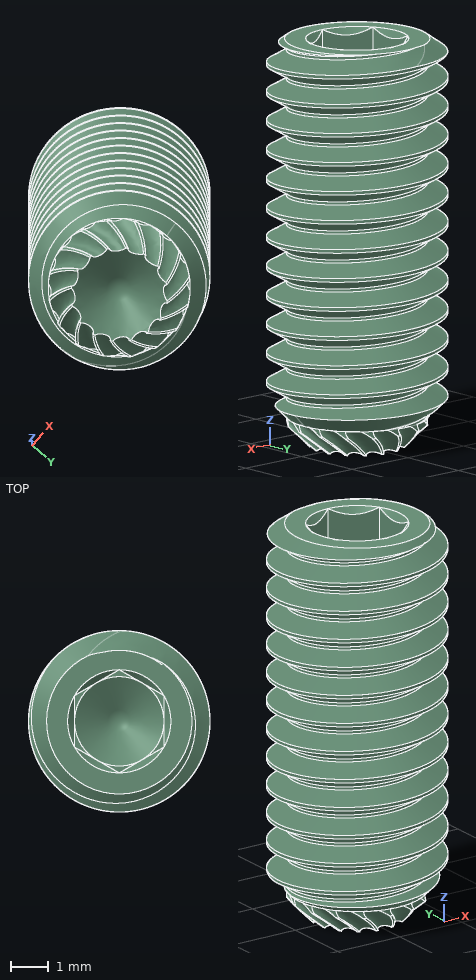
import cadquery as cq
import math


LENGTH = 11.11
MAJOR_RADIUS = 4.83 / 2
ROOT_RADIUS = 1.89
PITCH = LENGTH / 14
CREST_WIDTH = PITCH / 8
FLANK_ANGLE = math.radians(30)
THREAD_PHASE = 0.21
CORE_OVERLAP = 0.05

TOP_FACE_RADIUS = 1.93
TOP_CHAMFER_ANGLE = math.radians(35)
TIP_RADIUS = 1.29
CUP_ANGLE = math.radians(31)

KNURL_HEIGHT = 0.8
GROOVE_COUNT = 16
GROOVE_STEP = 360 / GROOVE_COUNT
GROOVE_ANGLE = 19.5
GROOVE_DEPTH_RATIO = 0.13
GROOVE_PHASE = -0.5
GROOVE_TWIST = 24.0
GROOVE_OVERCUT = 1.2

HEX_WIDTH = 2.38
HEX_SIDES = 6
HEX_CORNER_RADIUS = HEX_WIDTH / math.sqrt(3)
HEX_DEPTH = 1.28
DRILL_TIP_SLOPE = math.radians(31)
COUNTERSINK_SLOPE = math.radians(45)


def revolved(points):
    """Solid of revolution about Z from (radius, height) points."""
    return cq.Workplane("XZ").polyline(points).close().revolve(360, (0, 0), (0, 1))


def cone_down(radius, height, slope):
    """Cone with its base at the given height and its apex below."""
    return revolved([(0, height), (radius, height), (0, height - radius * math.tan(slope))])


def thread_ridge():
    inner = ROOT_RADIUS - CORE_OVERLAP
    crest_half = CREST_WIDTH / 2
    inner_half = crest_half + (MAJOR_RADIUS - inner) * math.tan(FLANK_ANGLE)
    start = THREAD_PHASE - PITCH
    turns = math.ceil((LENGTH - start) / PITCH) + 1
    path = cq.Workplane(cq.Wire.makeHelix(PITCH, turns * PITCH, ROOT_RADIUS))
    profile = cq.Workplane("XZ").polyline([
        (inner, -inner_half),
        (MAJOR_RADIUS, -crest_half),
        (MAJOR_RADIUS, crest_half),
        (inner, inner_half),
    ]).close()
    return profile.sweep(path, isFrenet=True).translate((0, 0, start))


def shaft():
    shaft_length = LENGTH - KNURL_HEIGHT
    return cq.Workplane("XY", origin=(0, 0, KNURL_HEIGHT)).circle(ROOT_RADIUS).extrude(shaft_length)


def thread_envelope():
    """Region the ridge may fill: 45 degrees above the knurl, chamfered at the top."""
    depth = MAJOR_RADIUS - ROOT_RADIUS
    margin = 0.11
    chamfer_height = (MAJOR_RADIUS + margin - TOP_FACE_RADIUS) * math.tan(TOP_CHAMFER_ANGLE)
    return revolved([
        (0, KNURL_HEIGHT),
        (ROOT_RADIUS, KNURL_HEIGHT),
        (MAJOR_RADIUS + margin, KNURL_HEIGHT + depth + margin),
        (MAJOR_RADIUS + margin, LENGTH - chamfer_height),
        (TOP_FACE_RADIUS, LENGTH),
        (0, LENGTH),
    ])


def groove_section(height):
    """Round-bottomed groove outline at one height, scaled to the tip cone there."""
    cone_radius = TIP_RADIUS + height
    middle = GROOVE_PHASE + GROOVE_TWIST * (1 - height / KNURL_HEIGHT)

    def point(radius, offset):
        angle = math.radians(middle + offset)
        return cq.Vector(radius * math.cos(angle), radius * math.sin(angle), height)

    half = GROOVE_ANGLE / 2
    outer = cone_radius * GROOVE_OVERCUT
    right = point(cone_radius, -half)
    bottom = point(cone_radius * (1 - GROOVE_DEPTH_RATIO), 0)
    left = point(cone_radius, half)
    outer_left = point(outer, half)
    outer_right = point(outer, -half)
    return cq.Wire.assembleEdges([
        cq.Edge.makeThreePointArc(right, bottom, left),
        cq.Edge.makeLine(left, outer_left),
        cq.Edge.makeLine(outer_left, outer_right),
        cq.Edge.makeLine(outer_right, right),
    ])


def knurl_grooves():
    heights = [0, KNURL_HEIGHT / 2, KNURL_HEIGHT]
    groove = cq.Solid.makeLoft([groove_section(height) for height in heights])
    axis_ends = (0, 0, 0), (0, 0, 1)
    return [groove.rotate(*axis_ends, index * GROOVE_STEP) for index in range(GROOVE_COUNT)]


def knurled_tip():
    """45 degree tip below the shaft, hollowed by a conical cup and cut by the grooves."""
    blank = revolved([
        (0, TIP_RADIUS * math.tan(CUP_ANGLE)),
        (TIP_RADIUS, 0),
        (ROOT_RADIUS, ROOT_RADIUS - TIP_RADIUS),
        (ROOT_RADIUS, KNURL_HEIGHT),
        (0, KNURL_HEIGHT),
    ])
    return cq.Workplane(blank.val().cut(*knurl_grooves()))


def socket():
    hexagon = (
        cq.Workplane("XY", origin=(0, 0, LENGTH - HEX_DEPTH))
        .polygon(HEX_SIDES, 2 * HEX_CORNER_RADIUS)
        .extrude(HEX_DEPTH)
        .rotate((0, 0, 0), (0, 0, 1), 180 / HEX_SIDES)
    )
    drill_tip = cone_down(HEX_WIDTH / 2, LENGTH - HEX_DEPTH, DRILL_TIP_SLOPE)
    countersink = cone_down(HEX_CORNER_RADIUS, LENGTH, COUNTERSINK_SLOPE)
    return hexagon.union(drill_tip).union(countersink)


threaded_shaft = shaft().union(thread_ridge().intersect(thread_envelope()))
socketed_shaft = threaded_shaft.cut(socket(), clean=False)
result = socketed_shaft.union(knurled_tip(), glue=True, clean=False)